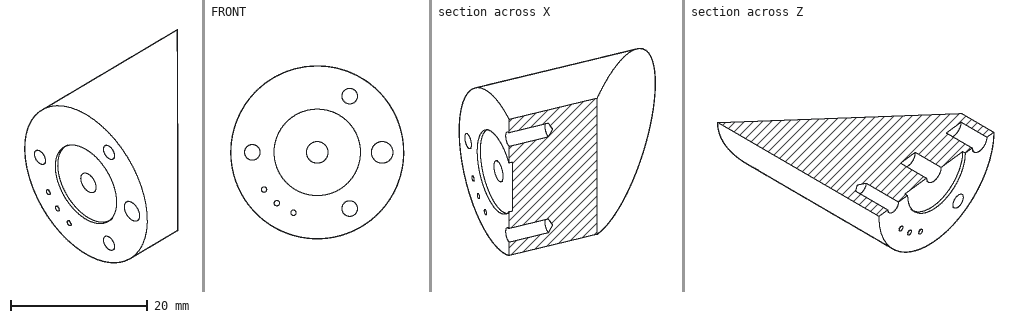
import cadquery as cq
import math

diameter = 25.4
radius = diameter / 2
long_side = 31.75
short_side = long_side - diameter

hole_circle_radius = 9.52
recess_diameter = 12.7
recess_depth = 0.5
pin_diameter = 3.18
pin_depth = 5.08
screw_diameter = 2.3
screw_depth = 6.35
screw_angles = (60, 180, 300)
mark_diameter = 0.8
mark_depth = 0.5
mark_angles = (215, 231.5, 248.5)
drill_tip_angle = 118.0


def on_hole_circle(angle):
    """X and Z of a point on the hole circle, angle measured from +X toward +Z."""
    turn = math.radians(angle)
    return hole_circle_radius * math.cos(turn), hole_circle_radius * math.sin(turn)


def flat_hole(x, z, hole_diameter, depth):
    """Flat-bottomed cutter running into the part from the mounting face."""
    start = cq.Vector(x, 0, z)
    return cq.Workplane(cq.Solid.makeCylinder(hole_diameter / 2, depth, start, cq.Vector(0, 1, 0)))


def drilled_hole(x, z, hole_diameter, depth):
    """Cutter with a conical drill tip beyond its full-diameter depth."""
    hole_radius = hole_diameter / 2
    tip_length = hole_radius / math.tan(math.radians(drill_tip_angle / 2))
    tip_start = cq.Vector(x, depth, z)
    tip = cq.Solid.makeCone(hole_radius, 0, tip_length, tip_start, cq.Vector(0, 1, 0))
    return flat_hole(x, z, hole_diameter, depth).union(cq.Workplane(tip))


profile = [(-radius, 0), (radius, 0), (radius, short_side), (-radius, long_side)]
slanted_block = cq.Workplane("XY").polyline(profile).close().extrude(radius, both=True)
result = flat_hole(0, 0, diameter, long_side).intersect(slanted_block)

result = result.cut(flat_hole(0, 0, recess_diameter, recess_depth))
result = result.cut(flat_hole(0, 0, pin_diameter, recess_depth + pin_depth))

result = result.cut(flat_hole(*on_hole_circle(0), pin_diameter, pin_depth))

for angle in screw_angles:
    result = result.cut(drilled_hole(*on_hole_circle(angle), screw_diameter, screw_depth))

for angle in mark_angles:
    result = result.cut(drilled_hole(*on_hole_circle(angle), mark_diameter, mark_depth))